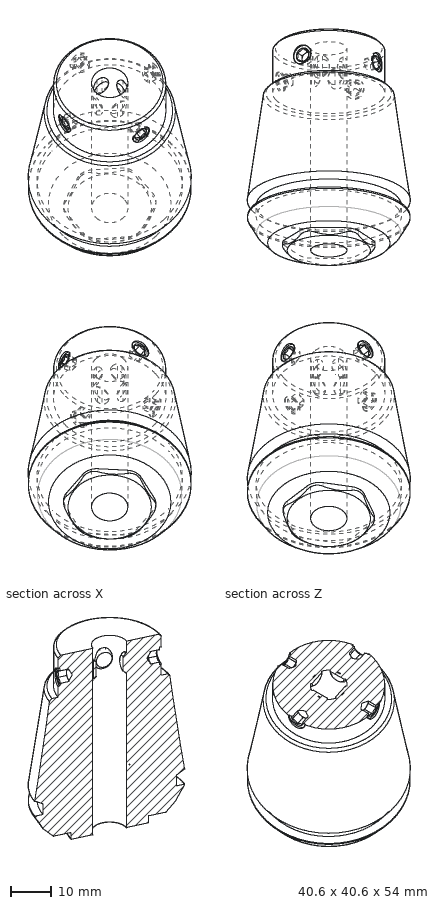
import cadquery as cq
import math

height = 54.0
nut_top = 2.0
skirt_break = 4.75
flange_bottom = 8.7
flange_top = 9.05
body_bottom = 13.35
body_top = 42.0

skirt_bottom_dia = 30.45
skirt_break_dia = 35.9
flange_dia = 40.55
groove_dia = 36.2
body_max_dia = 40.65
body_top_dia = 32.65
collar_dia = 27.95
bore_dia = 9.0

edge_chamfer = 0.7
groove_slope = math.radians(30)

nut_flats = 21.05
nut_corner_radius = 4.15
nut_end_radius = 10.35
nut_bevel = math.radians(45)

screw_dia = 6.0
screw_hole_dia = 4.9
screw_height = 47.65
screw_count = 4
screw_head_reach = 13.5
screw_tip_reach = 3.55
screw_tip_dia = 4.2
socket_flats = 3.0
socket_rim_dia = 3.6
socket_depth = 2.5
socket_turn = 30
socket_point_angle = math.radians(120)

HEX_CORNER_RATIO = 1 / math.cos(math.pi / 6)


def turned_body():
    """Collar, tapered body, groove and flanged skirt as one revolved profile."""
    groove_top = body_bottom - (body_max_dia - groove_dia) / 2 * math.tan(groove_slope)
    profile = [
        (0, nut_top),
        (skirt_bottom_dia / 2, nut_top),
        (skirt_break_dia / 2, skirt_break),
        (flange_dia / 2, flange_bottom),
        (flange_dia / 2, flange_top),
        (groove_dia / 2, flange_top),
        (groove_dia / 2, groove_top),
        (body_max_dia / 2, body_bottom),
        (body_top_dia / 2, body_top - edge_chamfer),
        (body_top_dia / 2 - edge_chamfer, body_top),
        (collar_dia / 2, body_top),
        (collar_dia / 2, height - edge_chamfer),
        (collar_dia / 2 - edge_chamfer, height),
        (0, height),
    ]
    return cq.Workplane("XZ").polyline(profile).close().revolve(360, (0, 0), (0, 1))


def hex_nut():
    """Hexagon with rounded corners and a conical bevel around its lower end."""
    hexagon = (
        cq.Workplane("XY")
        .polygon(6, nut_flats * HEX_CORNER_RATIO)
        .extrude(nut_top)
        .edges("|Z")
        .fillet(nut_corner_radius)
    )
    bevel_top_radius = nut_end_radius + nut_top * math.tan(nut_bevel)
    bevel = cq.Solid.makeCone(nut_end_radius, bevel_top_radius, nut_top)
    return hexagon.intersect(cq.Workplane(bevel))


def revolve_about_screw_axis(profile):
    """Turn (distance along X, radius) points around the X axis at the screw height."""
    plane = cq.Workplane("XZ", origin=(0, 0, screw_height))
    return plane.polyline(profile).close().revolve(360, (0, 0), (1, 0))


def screw_tip():
    """Tip of a screw standing out of the bore wall, with its 45 degree chamfer."""
    radius = screw_dia / 2
    tip_radius = screw_tip_dia / 2
    tip_end = screw_tip_reach + radius - tip_radius
    return revolve_about_screw_axis([
        (screw_tip_reach, 0),
        (screw_tip_reach, tip_radius),
        (tip_end, radius),
        (tip_end, 0),
    ])


def screw_recess():
    """Space above the sunken screw head, with its hexagon socket."""
    socket_radius = socket_flats / 2
    rim_radius = socket_rim_dia / 2
    socket_floor = screw_head_reach - socket_depth
    socket_point = socket_floor - socket_radius / math.tan(socket_point_angle / 2)
    turned = revolve_about_screw_axis([
        (socket_point, 0),
        (socket_floor, socket_radius),
        (screw_head_reach - (rim_radius - socket_radius), socket_radius),
        (screw_head_reach, rim_radius),
        (screw_head_reach, screw_hole_dia / 2),
        (collar_dia / 2, screw_hole_dia / 2),
        (collar_dia / 2, 0),
    ])
    hexagon = (
        cq.Workplane("YZ", origin=(socket_floor, 0, screw_height))
        .polygon(6, socket_flats * HEX_CORNER_RATIO)
        .extrude(socket_depth)
        .rotate((0, 0, screw_height), (1, 0, screw_height), socket_turn)
    )
    return turned.union(hexagon)


result = turned_body().union(hex_nut())
result = result.cut(cq.Workplane("XY").circle(bore_dia / 2).extrude(height))
for index in range(screw_count):
    angle = index * 360 / screw_count
    result = result.union(screw_tip().rotate((0, 0, 0), (0, 0, 1), angle))
    result = result.cut(screw_recess().rotate((0, 0, 0), (0, 0, 1), angle))